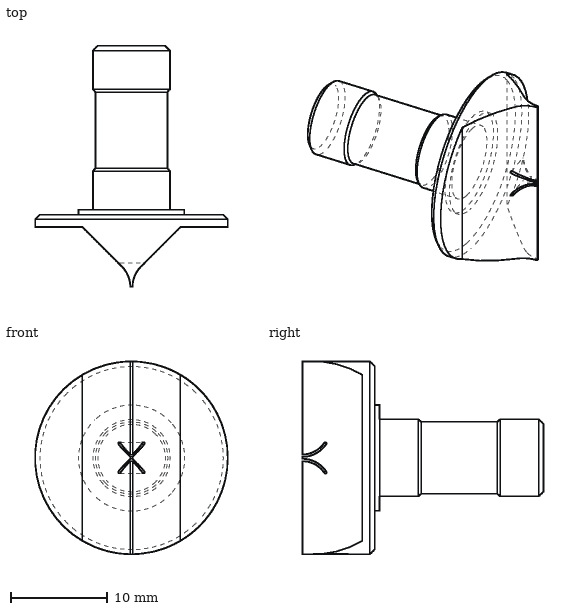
import cadquery as cq
import math

total_length = 25.0

flange_radius = 10.0
flange_front = 6.2
flange_back = 7.5
flange_chamfer = 0.5
collar_radius = 5.5
collar_back = flange_back + 0.5

stem_radius = 4.0
neck_radius = 3.75
front_band_length = 4.0
back_band_length = 4.5
band_taper = 0.3
stem_chamfer = 0.5

tip_half_width = 0.12
flank_angle = math.radians(45)
tip_blend_radius = 3.0

slot_width = 0.22
slot_offset = 0.22
slot_depth = 2.38
slot_radius = 2.85


def make_body():
    """Revolve the flange, collar and stem about the Y axis."""
    front_band_end = collar_back + front_band_length
    back_band_start = total_length - back_band_length
    profile = [
        (0, flange_front),
        (flange_radius, flange_front),
        (flange_radius, flange_back - flange_chamfer),
        (flange_radius - flange_chamfer, flange_back),
        (collar_radius, flange_back),
        (collar_radius, collar_back),
        (stem_radius, collar_back),
        (stem_radius, front_band_end),
        (neck_radius, front_band_end + band_taper),
        (neck_radius, back_band_start - band_taper),
        (stem_radius, back_band_start),
        (stem_radius, total_length - stem_chamfer),
        (stem_radius - stem_chamfer, total_length),
        (0, total_length),
    ]
    return cq.Workplane("XY").polyline(profile).close().revolve(360, (0, 0), (0, 1))


def make_blade():
    """Wedge running along Z, trimmed to the round outline of the flange."""
    def blend_point(angle):
        x = tip_half_width + tip_blend_radius * (1 - math.cos(angle))
        return x, tip_blend_radius * math.sin(angle)

    mid_x, mid_y = blend_point(flank_angle / 2)
    end_x, end_y = blend_point(flank_angle)
    root_y = flange_back - flange_chamfer
    base_x = end_x + (flange_front - end_y) * math.tan(flank_angle)
    wedge = (
        cq.Workplane("XY")
        .moveTo(tip_half_width, 0)
        .threePointArc((mid_x, mid_y), (end_x, end_y))
        .lineTo(base_x, flange_front)
        .lineTo(base_x, root_y)
        .lineTo(-base_x, root_y)
        .lineTo(-base_x, flange_front)
        .lineTo(-end_x, end_y)
        .threePointArc((-mid_x, mid_y), (-tip_half_width, 0))
        .close()
        .extrude(flange_radius, both=True)
    )
    envelope = cq.Workplane("XZ").circle(flange_radius).extrude(-root_y)
    return wedge.intersect(envelope)


def make_slot():
    """Upper slot: opens at the tip, curves away in +Z and has a round end."""
    center_z = slot_offset + slot_radius
    end_angle = math.asin(slot_depth / slot_radius)
    inner_radius = slot_radius - slot_width / 2
    outer_radius = slot_radius + slot_width / 2

    def arc_point(radius, angle):
        return radius * math.sin(angle), center_z - radius * math.cos(angle)

    end_y, end_z = arc_point(slot_radius, end_angle)
    round_end = (
        end_y + slot_width / 2 * math.cos(end_angle),
        end_z + slot_width / 2 * math.sin(end_angle),
    )
    return (
        cq.Workplane("YZ")
        .moveTo(*arc_point(outer_radius, 0))
        .threePointArc(arc_point(outer_radius, end_angle / 2), arc_point(outer_radius, end_angle))
        .threePointArc(round_end, arc_point(inner_radius, end_angle))
        .threePointArc(arc_point(inner_radius, end_angle / 2), arc_point(inner_radius, 0))
        .close()
        .extrude(flange_radius, both=True)
    )


upper_slot = make_slot()
lower_slot = upper_slot.mirror("XY")
result = make_body().union(make_blade()).cut(upper_slot).cut(lower_slot)